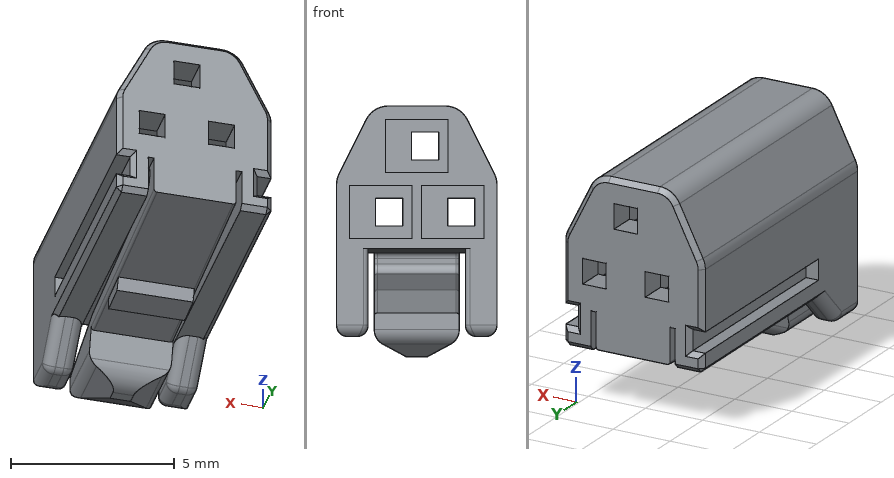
import cadquery as cq


tolerance = 0.005

body_width = 4.9
body_length = 9.55
body_top = 7.65
shoulder_height = 5.42
roof_corner_half_width = 1.34
outline_radius = 0.76
rear_chamfer = 0.16

leg_bottom = 0.61
skirt_bottom = 1.84
leg_ramp_top_y = 2.37
leg_ramp_bottom_y = leg_ramp_top_y - (skirt_bottom - leg_bottom)
leg_fillet = 0.35
channel_width = 2.96
channel_top_front = 3.3
channel_top_rear = 3.17
channel_mouth_fillet = 0.14

slot_start_y = 2.42
slot_bottom = 2.49
slot_top = 3.19
slot_depth = 0.44

cavity_width = 1.92
cavity_height = 1.61
cavity_depth = 8.595
pin_hole_width = 0.82
pin_hole_height = 0.84
pin_hole_offset = 0.26
lower_cavity_x = 1.1
lower_cavity_z = 4.41
upper_cavity_z = 6.43

latch_width = 2.6
latch_edge_fillet = 0.1
ramp_front_z = 1.34
ramp_end_y = 2.58
ramp_end_z = 2.03
anchor_y = 8.98
anchor_bottom_z = 2.55
anchor_lower_fillet = 0.3
anchor_upper_fillet = 0.18
arm_bottom_front_y = 2.41
arm_bottom_front_z = 1.47
arm_bottom_slope = 0.065

head_corner_z = 0.53
head_tip_front_y = 1.07
head_tip_rear_y = 2.015
head_tip_half_width = 0.32
head_fillet = 0.5
head_rear_fillet = 0.8

tab_front_y = 4.06
tab_rear_bottom_y = 5.01
tab_rear_top_y = 5.17
tab_drop = 0.38


def box(x_min, x_max, y_min, y_max, z_min, z_max):
    size = (x_max - x_min, y_max - y_min, z_max - z_min)
    return cq.Workplane().box(*size, centered=False).translate((x_min, y_min, z_min))


def extrude_along_y(points, length):
    """Extrude an (x, z) outline from the mating face toward the rear."""
    return cq.Workplane("XZ").polyline(points).close().extrude(-length)


def extrude_across_x(points, width):
    """Extrude a (y, z) outline symmetrically about the middle plane."""
    return cq.Workplane("YZ").polyline(points).close().extrude(width / 2, both=True)


def edges_at(shape, x, y, z):
    """Select the edges whose centre lies at the given place; None matches any value."""
    target = (x, y, z)

    def matches(edge):
        centre = edge.Center().toTuple()
        return all(t is None or abs(c - t) < tolerance for c, t in zip(centre, target))

    return shape.newObject([edge for edge in shape.edges().vals() if matches(edge)])


def arm_bottom_z(y):
    return arm_bottom_front_z + arm_bottom_slope * (y - arm_bottom_front_y)


def make_body():
    """Prism with a tapered roof, cut away below the skirt and along the channel."""
    half = body_width / 2
    body = extrude_along_y(
        [
            (-half, leg_bottom),
            (-half, shoulder_height),
            (-roof_corner_half_width, body_top),
            (roof_corner_half_width, body_top),
            (half, shoulder_height),
            (half, leg_bottom),
        ],
        body_length,
    )
    outline_edges = []
    for x, z in ((half, shoulder_height), (roof_corner_half_width, body_top)):
        outline_edges += edges_at(body, -x, None, z).edges("|Y").vals()
        outline_edges += edges_at(body, x, None, z).edges("|Y").vals()
    body = body.newObject(outline_edges).fillet(outline_radius)

    under_skirt = extrude_across_x(
        [
            (leg_ramp_bottom_y, leg_bottom),
            (leg_ramp_top_y, skirt_bottom),
            (body_length, skirt_bottom),
            (body_length, leg_bottom),
        ],
        body_width,
    )
    channel_half = channel_width / 2
    channel = extrude_across_x(
        [
            (0, leg_bottom),
            (0, channel_top_front),
            (anchor_y, channel_top_rear),
            (body_length, channel_top_rear),
            (body_length, leg_bottom),
        ],
        channel_width,
    )
    body = body.cut(under_skirt).cut(channel)
    mouth_edges = edges_at(body, -channel_half, 0, None).add(edges_at(body, channel_half, 0, None))
    return mouth_edges.fillet(channel_mouth_fillet)


def round_legs(body):
    """Round the lower edges of both legs and of the ramps behind them."""
    bottom_y = leg_ramp_bottom_y / 2
    ramp_y = (leg_ramp_bottom_y + leg_ramp_top_y) / 2
    ramp_z = (leg_bottom + skirt_bottom) / 2
    edges = edges_at(body, None, 0, leg_bottom).vals()
    edges += edges_at(body, None, leg_ramp_bottom_y, leg_bottom).vals()
    for x in (-body_width / 2, -channel_width / 2, channel_width / 2, body_width / 2):
        edges += edges_at(body, x, bottom_y, leg_bottom).vals()
        edges += edges_at(body, x, ramp_y, ramp_z).vals()
    return body.newObject(edges).fillet(leg_fillet)


def cut_side_slots(body):
    half = body_width / 2
    slot = box(half - slot_depth, half, slot_start_y, body_length, slot_bottom, slot_top)
    return body.cut(slot).cut(slot.mirror("YZ"))


def chamfer_rear_and_skirt(body):
    """Bevel the rear outline, slots included, and the lower outer edges of the skirt."""
    half = body_width / 2
    edges = edges_at(body, -half, None, skirt_bottom).vals()
    edges += edges_at(body, half, None, skirt_bottom).vals()
    for edge in edges_at(body, None, body_length, None).vals():
        x = abs(edge.Center().x)
        z = edge.Center().z
        on_channel = x <= channel_width / 2 + tolerance and z <= channel_top_rear + tolerance
        if not on_channel:
            edges.append(edge)
    return body.newObject(edges).chamfer(rear_chamfer)


def cut_cavity(body, x, z):
    """Cut one terminal cavity and its off-centre pin hole through the rear wall."""
    half_width = cavity_width / 2
    half_height = cavity_height / 2
    cavity = box(x - half_width, x + half_width, 0, cavity_depth, z - half_height, z + half_height)
    hole_x = x + pin_hole_offset
    half_hole_width = pin_hole_width / 2
    half_hole_height = pin_hole_height / 2
    hole = box(
        hole_x - half_hole_width, hole_x + half_hole_width,
        0, body_length,
        z - half_hole_height, z + half_hole_height,
    )
    return body.cut(cavity).cut(hole)


def make_arm():
    """Cantilever arm hanging from the channel roof at the rear, with its front ramp."""
    arm = (
        cq.Workplane("YZ")
        .moveTo(0, 0)
        .lineTo(0, ramp_front_z)
        .lineTo(ramp_end_y, ramp_end_z)
        .lineTo(anchor_y, anchor_bottom_z)
        .lineTo(anchor_y, channel_top_rear - anchor_upper_fillet)
        .radiusArc((anchor_y - anchor_upper_fillet, channel_top_rear), -anchor_upper_fillet)
        .lineTo(body_length, channel_top_rear)
        .lineTo(body_length, arm_bottom_z(body_length))
        .lineTo(arm_bottom_front_y, arm_bottom_front_z)
        .lineTo(head_tip_rear_y, 0)
        .close()
        .extrude(latch_width / 2, both=True)
    )
    arm = edges_at(arm, 0, anchor_y, anchor_bottom_z).fillet(anchor_lower_fillet)

    lowest_z = ramp_front_z
    highest_z = channel_top_rear - latch_edge_fillet / 2
    long_edges = []
    for x in (-latch_width / 2, latch_width / 2):
        for edge in edges_at(arm, x, None, None).vals():
            centre = edge.Center()
            if lowest_z < centre.z < highest_z and 0 < centre.y < (anchor_y + body_length) / 2:
                long_edges.append(edge)
    return arm.newObject(long_edges).fillet(latch_edge_fillet)


def shape_head(arm):
    """Trim the head to a rounded V across its width and a rounded nose along its length."""
    half = latch_width / 2
    cross_section = extrude_along_y(
        [
            (-half, head_corner_z),
            (-half, channel_top_rear),
            (half, channel_top_rear),
            (half, head_corner_z),
            (head_tip_half_width, 0),
            (-head_tip_half_width, 0),
        ],
        body_length,
    )
    cross_section = (
        edges_at(cross_section, -half, None, head_corner_z)
        .add(edges_at(cross_section, half, None, head_corner_z))
        .fillet(head_fillet)
    )
    side_section = extrude_across_x(
        [
            (0, head_corner_z),
            (0, channel_top_rear),
            (body_length, channel_top_rear),
            (body_length, arm_bottom_z(body_length)),
            (arm_bottom_front_y, arm_bottom_front_z),
            (head_tip_rear_y, 0),
            (head_tip_front_y, 0),
        ],
        latch_width,
    )
    side_section = edges_at(side_section, None, 0, head_corner_z).fillet(head_fillet)
    side_section = edges_at(side_section, None, head_tip_rear_y, 0).fillet(head_rear_fillet)
    return arm.intersect(cross_section).intersect(side_section)


def make_tab():
    """Stop tab below the arm, its lower face parallel to the arm."""
    return extrude_across_x(
        [
            (tab_front_y, arm_bottom_z(tab_front_y)),
            (tab_front_y, arm_bottom_z(tab_front_y) - tab_drop),
            (tab_rear_bottom_y, arm_bottom_z(tab_rear_bottom_y) - tab_drop),
            (tab_rear_top_y, arm_bottom_z(tab_rear_top_y)),
        ],
        latch_width - 2 * latch_edge_fillet,
    )


housing = round_legs(make_body())
housing = chamfer_rear_and_skirt(cut_side_slots(housing))
for cavity_x, cavity_z in (
    (0, upper_cavity_z),
    (-lower_cavity_x, lower_cavity_z),
    (lower_cavity_x, lower_cavity_z),
):
    housing = cut_cavity(housing, cavity_x, cavity_z)

latch = shape_head(make_arm())
result = housing.union(latch).union(make_tab())